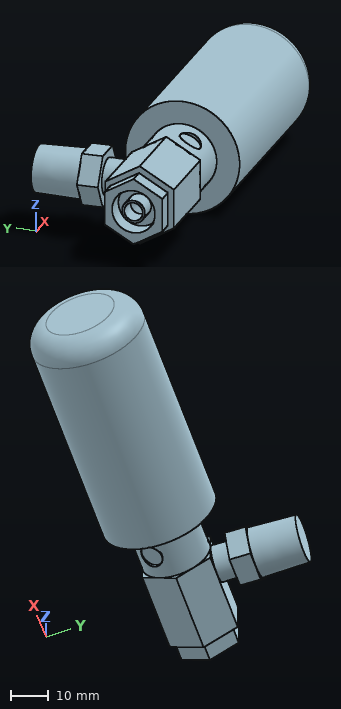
import cadquery as cq
import math

overall_length = 106.4
overall_width = 49.6

nut_end = 4.7
body_start = 5.2
body_end = 27.7
sleeve_start = 41.4

nut_flats = 16.1
collar_diameter = 13.9
body_flats = 19.0
neck_diameter = body_flats
sleeve_diameter = 31.8
sleeve_fillet = 6.4

socket_diameter = 11.9
socket_depth = 5.3
post_diameter = 6.4
bore_diameter = 5.1
bore_depth = socket_depth
bore_tip_angle = 118

spot_diameter = 6.4
spot_x = 34.5
spot_floor_radius = 8.7
spot_angles = (120, 240)

fitting_x = 22.2
stem_diameter = 10.2
fitting_hex_start = 14.5
fitting_hex_end = 20.3
fitting_hex_flats = 14.6
shank_base_diameter = 13.9
shank_tip_diameter = 13.2
shank_end = overall_width - sleeve_diameter / 2


def axial_cylinder(diameter, start, end):
    return cq.Workplane("YZ", origin=(start, 0, 0)).circle(diameter / 2).extrude(end - start)


def corner_diameter(flats):
    return flats / math.cos(math.radians(30))


def axial_hexagon(flats, start, end):
    """Hexagonal prism along X with corners pointing up and down."""
    plane = cq.Plane(origin=(start, 0, 0), xDir=(0, 0, 1), normal=(1, 0, 0))
    return cq.Workplane(plane).polygon(6, corner_diameter(flats)).extrude(end - start)


def main_body():
    sleeve = axial_cylinder(sleeve_diameter, sleeve_start, overall_length)
    sleeve = sleeve.faces(">X").edges().fillet(sleeve_fillet)
    return (
        axial_hexagon(nut_flats, 0, nut_end)
        .union(axial_cylinder(collar_diameter, nut_end, body_start))
        .union(axial_hexagon(body_flats, body_start, body_end))
        .union(axial_cylinder(neck_diameter, body_end, sleeve_start))
        .union(sleeve)
    )


def socket_cut():
    """Annular recess around the post, plus the drilled hole inside it."""
    recess = axial_cylinder(socket_diameter, 0, socket_depth)
    recess = recess.cut(axial_cylinder(post_diameter, 0, socket_depth))
    bore_radius = bore_diameter / 2
    tip_length = bore_radius / math.tan(math.radians(bore_tip_angle / 2))
    bore = (
        cq.Workplane("XY")
        .polyline([(0, 0), (0, bore_radius), (bore_depth, bore_radius), (bore_depth + tip_length, 0)])
        .close()
        .revolve(360, (0, 0, 0), (1, 0, 0))
    )
    return recess.union(bore)


def spot_cut(angle):
    """Shallow flat-bottomed round pocket, turned about X to its place on the neck."""
    cutter = (
        cq.Workplane("XZ", origin=(spot_x, spot_floor_radius, 0))
        .circle(spot_diameter / 2)
        .extrude(-neck_diameter / 2)
    )
    return cutter.rotate((0, 0, 0), (1, 0, 0), angle)


def side_fitting():
    """Stem, hexagon and tapered shank along +Y."""
    hexagon = (
        cq.Workplane("XZ", origin=(fitting_x, fitting_hex_start, 0))
        .polygon(6, corner_diameter(fitting_hex_flats))
        .extrude(fitting_hex_start - fitting_hex_end)
    )
    profile = [
        (0, 0),
        (stem_diameter / 2, 0),
        (stem_diameter / 2, fitting_hex_end),
        (shank_base_diameter / 2, fitting_hex_end),
        (shank_tip_diameter / 2, shank_end),
        (0, shank_end),
    ]
    turned = (
        cq.Workplane("XY", origin=(fitting_x, 0, 0))
        .polyline(profile)
        .close()
        .revolve(360, (0, 0, 0), (0, 1, 0))
    )
    return turned.union(hexagon)


result = main_body().union(side_fitting()).cut(socket_cut())
for spot_angle in spot_angles:
    result = result.cut(spot_cut(spot_angle))